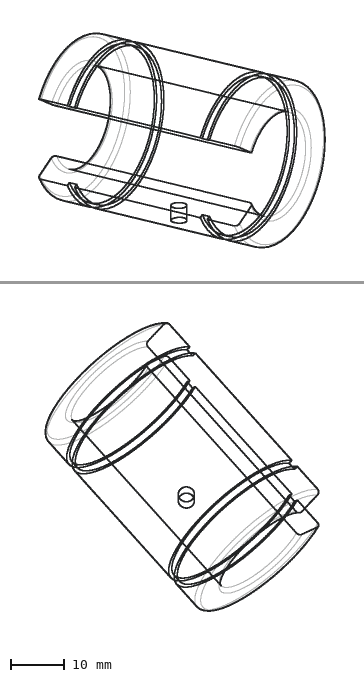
import cadquery as cq
import math

length = 45.0
outer_radius = 15.998
bore_radius = 10.0
edge_radius = 0.75
opening_angle = 60.0

groove_width = 1.6
groove_depth = 0.75
groove_outer_span = 31.5

hole_diameter = 3.0
hole_depth = (outer_radius - bore_radius) / 2

cut_margin = 2.25


def tube(outer, inner, tube_length):
    """Tube along X, centred on the origin."""
    return (
        cq.Workplane("YZ")
        .circle(outer)
        .circle(inner)
        .extrude(tube_length / 2, both=True)
    )


def opening_wedge():
    """Radial wedge, with its apex on the axis, that opens the sleeve toward -Y."""
    reach = outer_radius + cut_margin
    half_width = reach * math.tan(math.radians(opening_angle / 2))
    return (
        cq.Workplane("YZ")
        .polyline([(0, 0), (-reach, half_width), (-reach, -half_width)])
        .close()
        .extrude(length / 2 + cut_margin, both=True)
    )


def locating_hole():
    """Blind hole entering the sleeve from below, along +Z."""
    return (
        cq.Workplane("XY")
        .workplane(offset=-outer_radius - cut_margin)
        .circle(hole_diameter / 2)
        .extrude(cut_margin + hole_depth)
    )


sleeve = tube(outer_radius, bore_radius, length)
sleeve = sleeve.faces("<X or >X").edges().fillet(edge_radius)

groove_offset = (groove_outer_span - groove_width) / 2
for side in (-1, 1):
    groove = tube(outer_radius + cut_margin, outer_radius - groove_depth, groove_width)
    sleeve = sleeve.cut(groove.translate((side * groove_offset, 0, 0)))

result = sleeve.cut(opening_wedge()).cut(locating_hole())